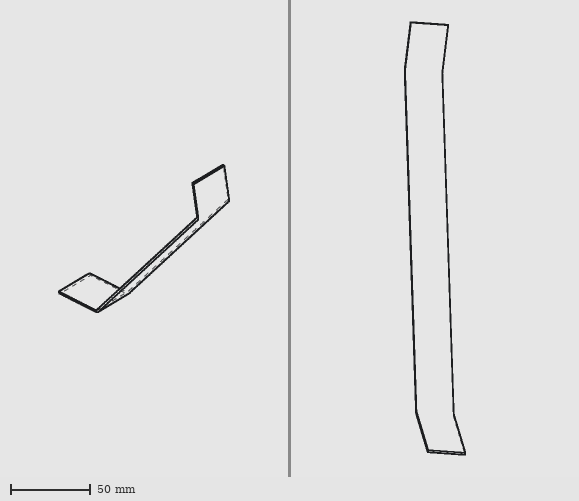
import cadquery as cq
import math

thickness = 1.6
width = 24.22
inner_bend_radius = 3.0

foot_length = 44.0
foot_slope = 19.4
web_length = 232.05
web_slope = 53.57
head_length = 29.9
head_slope = 90.0

lean_angle = 7.067

mid_bend_radius = inner_bend_radius + thickness / 2


def straight_end(start, length, slope):
    """End point, as (x, z), of a straight run laid off from start at the given slope."""
    angle = math.radians(slope)
    return (start[0] + length * math.cos(angle), start[1] + length * math.sin(angle))


def bend_point(start, start_slope, slope):
    """Point on an upward bend, starting at start, where the bend reaches the given slope."""
    chord = 2 * mid_bend_radius * math.sin(math.radians(slope - start_slope) / 2)
    return straight_end(start, chord, (start_slope + slope) / 2)


def add_bend(path, start, start_slope, end_slope):
    """Add a bend arc to the path and return the extended path and the arc's end point."""
    middle = bend_point(start, start_slope, (start_slope + end_slope) / 2)
    end = bend_point(start, start_slope, end_slope)
    return path.threePointArc(middle, end), end


def center_line():
    """Mid-thickness line of the strip in the XZ plane, starting at the foot's free end."""
    foot_start = (0, 0)
    foot_end = straight_end(foot_start, foot_length, foot_slope)
    path = cq.Workplane("XZ").moveTo(*foot_start).lineTo(*foot_end)
    path, web_start = add_bend(path, foot_end, foot_slope, web_slope)
    web_end = straight_end(web_start, web_length, web_slope)
    path, head_start = add_bend(path.lineTo(*web_end), web_end, web_slope, head_slope)
    return path.lineTo(*straight_end(head_start, head_length, head_slope))


def bent_strip():
    """Rectangular strip section swept along the center line."""
    foot_direction = straight_end((0, 0), 1, foot_slope)
    end_plane = cq.Plane(
        origin=(0, 0, 0),
        xDir=(0, 1, 0),
        normal=(foot_direction[0], 0, foot_direction[1]),
    )
    return cq.Workplane(end_plane).rect(width, thickness).sweep(center_line())


result = bent_strip().rotate((0, 0, 0), (1, 0, 0), lean_angle)